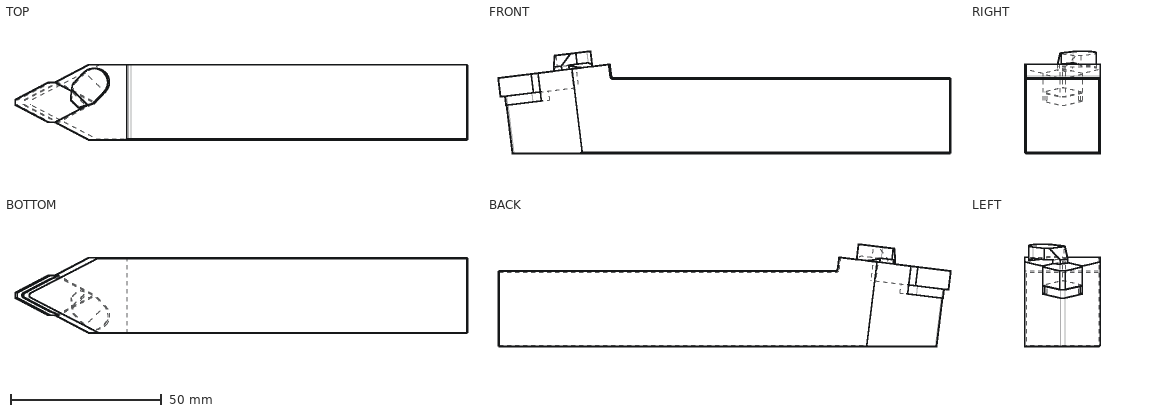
import cadquery as cq
import math

length = 150.0
width = 25.0
shank_height = 25.0
edge_chamfer = 0.5
tilt = 7.0
head_length = 37.4
shoulder_fillet = 0.8

half_point_angle = 27.5
insert_apex = -1.6
insert_half_width = 7.2
insert_side_flat = 6.6
insert_thickness = 6.3
shim_thickness = 3.0
nose_apex = 0.6
shim_apex = 0.5
nose_radius = 0.9
shim_side_radius = 6.0

clamp_x = 26.8
clamp_y = 6.6
clamp_direction = 226.0
clamp_radius = 4.6
clamp_height = 5.1
clamp_straight = 5.2
clamp_reach = 9.9
lip_half_width = 1.8
lip_height = 1.4
lip_start = 7.6
slope_start = 6.8
underside_gap = 1.4
heel_slope_start = 0.0
heel_slope_end = -3.9

point_slope = math.tan(math.radians(half_point_angle))
insert_half_length = insert_half_width / point_slope
insert_center = insert_apex + insert_half_length
insert_rear = insert_apex + 2 * insert_half_length
pocket_depth = insert_thickness + shim_thickness
prism_depth = 2 * shank_height


def tip_frame(x=0, y=0, height=0, turn=0):
    """Work plane parallel to the tilted top face, measured from the cutting tip."""
    base = cq.Plane(origin=(0, 0, shank_height)).rotated((0, -tilt, 0))
    plane = cq.Plane(origin=base.toWorldCoords((x, y, height)), xDir=base.xDir, normal=base.zDir)
    return cq.Workplane(plane.rotated((0, 0, turn)))


def rhombus(front, rear, bottom, height):
    """Rhombic prism with the insert's point angle, standing on the tilted frame."""
    middle = (front + rear) / 2
    half_width = (rear - front) / 2 * point_slope
    corners = [(front, 0), (middle, -half_width), (rear, 0), (middle, half_width)]
    return tip_frame(height=bottom).polyline(corners).close().extrude(height)


def make_insert():
    """Rhombic plate with its four corners cut flat."""
    plate = rhombus(insert_apex, insert_rear, -insert_thickness, insert_thickness)
    limits = (
        tip_frame(x=insert_center, height=-insert_thickness)
        .rect(2 * insert_center, 2 * insert_side_flat)
        .extrude(insert_thickness)
    )
    return plate.intersect(limits)


def make_head():
    """Tilted, pointed head, cut level with the base and ending in a square shoulder."""
    half_width = width / 2
    taper_end = nose_apex + half_width / point_slope
    outline = [
        (nose_apex, 0),
        (taper_end, -half_width),
        (head_length, -half_width),
        (head_length, half_width),
        (taper_end, half_width),
    ]
    head = tip_frame(height=-prism_depth).polyline(outline).close().extrude(prism_depth)
    nose_edge = cq.selectors.NearestToPointSelector(
        tip_frame(x=nose_apex, height=-prism_depth / 2).plane.origin.toTuple()
    )
    head = head.edges(nose_edge).fillet(nose_radius)
    above_base = cq.Workplane("XY").box(length, width, prism_depth, centered=(False, True, False))
    return head.intersect(above_base)


def make_shim():
    """Support plate just proud of the flanks of the head, with rounded side corners."""
    shim = rhombus(shim_apex, insert_rear, -pocket_depth, shim_thickness)
    middle = (shim_apex + insert_rear) / 2
    half_width = (insert_rear - shim_apex) / 2 * point_slope
    mid_height = -pocket_depth + shim_thickness / 2
    rounded_corners = [
        (shim_apex, 0, nose_radius),
        (middle, half_width, shim_side_radius),
        (middle, -half_width, shim_side_radius),
    ]
    for x, y, radius in rounded_corners:
        corner = tip_frame(x=x, y=y, height=mid_height).plane.origin.toTuple()
        shim = shim.edges(cq.selectors.NearestToPointSelector(corner)).fillet(radius)
    return shim


def make_clamp():
    """Clamp finger: round heel, tapered nose with a sloped front, relieved underneath."""
    frame = tip_frame(clamp_x, clamp_y, 0, clamp_direction)
    plan = (
        frame.moveTo(0, clamp_radius)
        .threePointArc((-clamp_radius, 0), (0, -clamp_radius))
        .lineTo(clamp_straight, -clamp_radius)
        .lineTo(clamp_reach, -lip_half_width)
        .lineTo(clamp_reach, lip_half_width)
        .lineTo(clamp_straight, clamp_radius)
        .close()
        .extrude(clamp_height)
    )
    side_profile = [
        (-clamp_radius, 0),
        (heel_slope_end, 0),
        (heel_slope_start, underside_gap),
        (lip_start, underside_gap),
        (lip_start, 0),
        (clamp_reach, 0),
        (clamp_reach, lip_height),
        (slope_start, clamp_height),
        (-clamp_radius, clamp_height),
    ]
    side_plane = frame.plane.rotated((90, 0, 0))
    side = cq.Workplane(side_plane).polyline(side_profile).close().extrude(clamp_radius, both=True)
    return plan.intersect(side)


def make_holder():
    """Shank and head with the insert pocket, the fixed shim and the clamp."""
    shoulder_x = head_length / math.cos(math.radians(tilt))
    shank = (
        cq.Workplane("XY")
        .box(length - shoulder_x, width, shank_height, centered=(False, True, False))
        .translate((shoulder_x, 0, 0))
    )
    holder = shank.union(make_head()).clean()
    shoulder_root = cq.selectors.NearestToPointSelector((shoulder_x, 0, shank_height))
    holder = holder.edges(shoulder_root).fillet(shoulder_fillet)
    holder = holder.faces("<Y").edges("|X").chamfer(edge_chamfer)
    holder = holder.faces(">X").chamfer(edge_chamfer)
    pocket = rhombus(insert_apex, insert_rear, -pocket_depth, pocket_depth)
    return holder.cut(pocket).union(make_shim()).union(make_clamp())


holder = make_holder()
insert = make_insert()
result = cq.Compound.makeCompound([holder.val(), insert.val()])